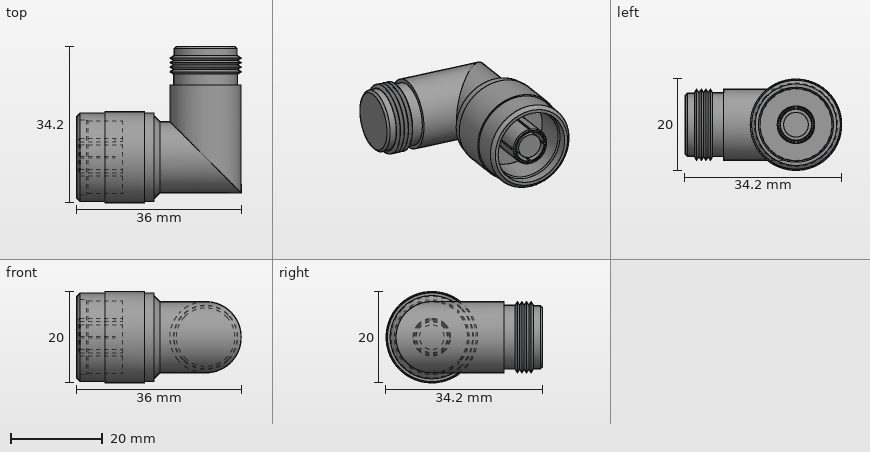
import cadquery as cq


tube_radius = 7.8
plug_reach = 28.19
jack_reach = 24.22

coupling_radius = 9.7
coupling_chamfer = 0.8
grip_radius = 10.0
grip_start = 6.17
grip_end = 14.9
coupling_length = 16.93
taper_start_radius = 9.1
taper_length = taper_start_radius - tube_radius

bore_mouth_radius = 8.2
bore_inner_radius = 7.9
bore_mouth_depth = 2.2
bore_step = bore_mouth_radius - bore_inner_radius
bore_depth = 10.0

sleeve_radius = 4.1
sleeve_bore_radius = 3.4
sleeve_outer_chamfer = 0.25
sleeve_inner_chamfer = 0.15
sleeve_recess = 0.42
slot_width = 0.4
slot_length = 8.0
slot_angles = (0, 90)
pin_radius = 2.7
pin_recess = 0.85

nose_radius = 6.9
nose_chamfer = 0.5
neck_radius = 7.0
shoulder_depth = 8.4
thread_radius = 7.8
thread_pitch = 1.0
thread_start = 2.03
thread_count = 4

plug_plane = cq.Plane(origin=(-plug_reach, 0, 0), xDir=(0, 1, 0), normal=(1, 0, 0))


def make_elbow():
    """Round tube turning from the plug axis to the jack axis at a sharp mitre."""
    path = cq.Workplane("XY").polyline([
        (-plug_reach + coupling_length, 0),
        (0, 0),
        (0, jack_reach - shoulder_depth),
    ])
    start = cq.Workplane("YZ", origin=(-plug_reach + coupling_length, 0, 0))
    return start.circle(tube_radius).sweep(path, transition="right")


def revolve_plug(points):
    """Revolve (depth from plug face, radius) points about the plug axis."""
    profile = cq.Workplane("XY", origin=(-plug_reach, 0, 0)).polyline(points).close()
    return profile.revolve(360, (0, 0, 0), (1, 0, 0))


def make_coupling():
    """Coupling sleeve with raised grip band, rear taper and stepped bore."""
    outside = revolve_plug([
        (0, 0),
        (0, coupling_radius - coupling_chamfer),
        (coupling_chamfer, coupling_radius),
        (grip_start, coupling_radius),
        (grip_start, grip_radius),
        (grip_end, grip_radius),
        (grip_end, coupling_radius),
        (coupling_length, coupling_radius),
        (coupling_length, taper_start_radius),
        (coupling_length + taper_length, tube_radius),
        (coupling_length + taper_length, 0),
    ])
    bore = revolve_plug([
        (0, 0),
        (0, bore_mouth_radius),
        (bore_mouth_depth, bore_mouth_radius),
        (bore_mouth_depth + bore_step, bore_inner_radius),
        (bore_depth, bore_inner_radius),
        (bore_depth, 0),
    ])
    return outside.cut(bore)


def make_contact_sleeve():
    """Thin sleeve standing on the bore floor, split by four slots from its tip."""
    sleeve = revolve_plug([
        (sleeve_recess + sleeve_inner_chamfer, sleeve_bore_radius),
        (sleeve_recess, sleeve_bore_radius + sleeve_inner_chamfer),
        (sleeve_recess, sleeve_radius - sleeve_outer_chamfer),
        (sleeve_recess + sleeve_outer_chamfer, sleeve_radius),
        (bore_depth, sleeve_radius),
        (bore_depth, sleeve_bore_radius),
    ])
    for angle in slot_angles:
        slot = (
            cq.Workplane(plug_plane)
            .workplane(offset=sleeve_recess)
            .transformed(rotate=(0, 0, angle))
            .rect(2 * sleeve_radius, slot_width)
            .extrude(slot_length)
        )
        sleeve = sleeve.cut(slot)
    return sleeve


def make_pin():
    """Centre pin standing on the bore floor."""
    tip = cq.Workplane(plug_plane).workplane(offset=pin_recess)
    return tip.circle(pin_radius).extrude(bore_depth - pin_recess)


def make_jack():
    """Jack nose with ring-shaped V threads and a plain neck down to the elbow shoulder."""
    points = [
        (0, 0),
        (nose_radius - nose_chamfer, 0),
        (nose_radius, -nose_chamfer),
        (nose_radius, -thread_start),
    ]
    for turn in range(thread_count):
        root = thread_start + turn * thread_pitch
        points.append((neck_radius, -root))
        points.append((thread_radius, -root - thread_pitch / 2))
    thread_end = thread_start + thread_count * thread_pitch
    points += [
        (neck_radius, -thread_end),
        (neck_radius, -shoulder_depth),
        (0, -shoulder_depth),
    ]
    profile = cq.Workplane("XY", origin=(0, jack_reach, 0)).polyline(points).close()
    return profile.revolve(360, (0, 0, 0), (0, 1, 0))


result = (
    make_elbow()
    .union(make_coupling())
    .union(make_contact_sleeve())
    .union(make_pin())
    .union(make_jack())
)